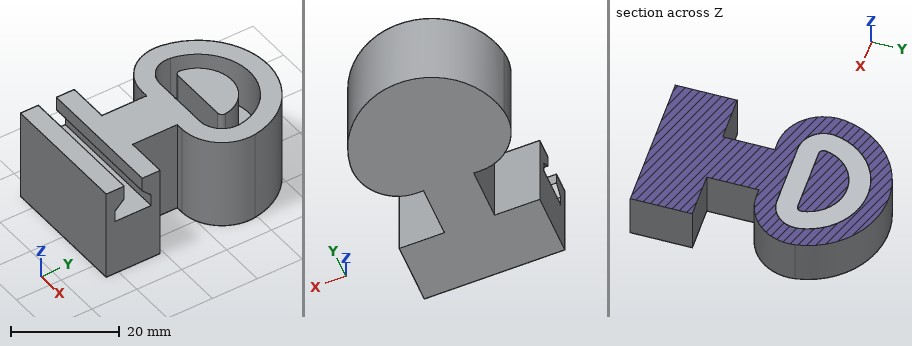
import cadquery as cq
import math

height = 20.0
total_length = 45.45

base_width = 28.0
base_length = 12.0

slot_mouth_width = 4.0
slot_wide_width = 8.0
slot_depth = 7.5
slot_mouth_depth = 3.0
slot_taper_height = (slot_wide_width - slot_mouth_width) / 2

neck_width = 10.0
neck_length = 9.95

wall = 4.0
groove_width = 4.0
groove_depth = 10.0
core_corner_radius = 0.95

core_offset = wall + groove_width
head_start = base_length + neck_length
core_flat = head_start + core_offset
core_radius = total_length - core_offset - core_flat


def d_prism(offset, bottom, top):
    """Rounded half disc, grown outward from the core outline by offset."""
    corner_radius = core_corner_radius + offset
    arc_radius = core_radius + offset
    center_reach = core_radius - core_corner_radius
    corner_angle = math.asin(core_corner_radius / center_reach)
    corner_x = center_reach * math.cos(corner_angle)
    corner_y = core_flat + core_corner_radius
    tangent_x = arc_radius * math.cos(corner_angle)
    tangent_y = core_flat + arc_radius * math.sin(corner_angle)
    middle_angle = (corner_angle - math.pi / 2) / 2
    middle_x = corner_x + corner_radius * math.cos(middle_angle)
    middle_y = corner_y + corner_radius * math.sin(middle_angle)
    flat_y = core_flat - offset
    return (
        cq.Workplane("XY", origin=(0, 0, bottom))
        .moveTo(-corner_x, flat_y)
        .lineTo(corner_x, flat_y)
        .threePointArc((middle_x, middle_y), (tangent_x, tangent_y))
        .threePointArc((0, core_flat + arc_radius), (-tangent_x, tangent_y))
        .threePointArc((-middle_x, middle_y), (-corner_x, flat_y))
        .close()
        .extrude(top - bottom)
    )


def make_slot():
    """T-slot cutter, centred across the base and running its full width."""
    center_y = base_length / 2
    mouth_left = center_y - slot_mouth_width / 2
    mouth_right = center_y + slot_mouth_width / 2
    wide_left = center_y - slot_wide_width / 2
    wide_right = center_y + slot_wide_width / 2
    floor_z = height - slot_depth
    mouth_z = height - slot_mouth_depth
    shoulder_z = mouth_z - slot_taper_height
    outline = [
        (mouth_left, height),
        (mouth_left, mouth_z),
        (wide_left, shoulder_z),
        (wide_left, floor_z),
        (wide_right, floor_z),
        (wide_right, shoulder_z),
        (mouth_right, mouth_z),
        (mouth_right, height),
    ]
    return (
        cq.Workplane("YZ", origin=(-base_width / 2, 0, 0))
        .polyline(outline)
        .close()
        .extrude(base_width)
    )


groove_floor = height - groove_depth
groove = d_prism(groove_width, groove_floor, height).cut(d_prism(0, groove_floor, height))
head = d_prism(core_offset, 0, height).cut(groove)

base = cq.Workplane("XY").box(base_width, base_length, height, centered=(True, False, False))
neck = (
    cq.Workplane("XY", origin=(0, base_length, 0))
    .box(neck_width, neck_length, height, centered=(True, False, False))
)

result = base.cut(make_slot()).union(neck).union(head)